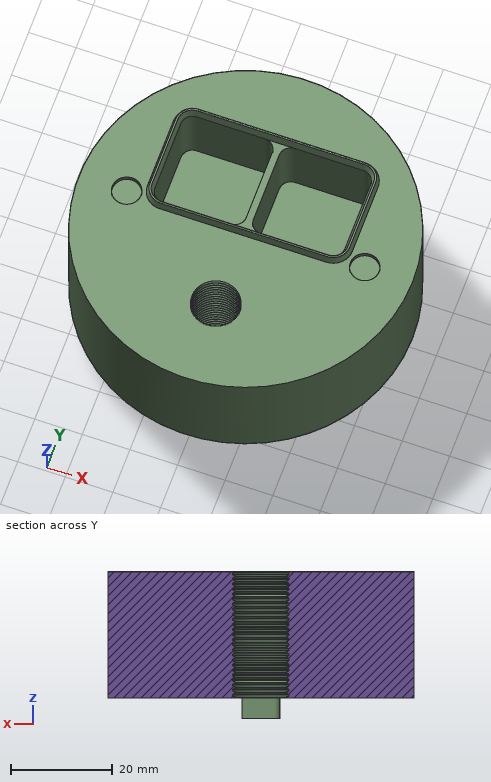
import cadquery as cq

body_diameter = 70.0
body_height = 25.0

rim_center_y = 10.0
rim_length = 43.0
rim_width = 23.1
rim_height = 1.5
rim_corner_radius = 4.0
rim_outer_slope = 0.525
rim_flat = 0.4
rim_inner_slope = 0.6
rim_top_inset = rim_outer_slope + rim_flat
pocket_inset = rim_top_inset + rim_inner_slope

pocket_depth = 15.0
web_thickness = 1.5

recess_diameter = 6.0
recess_depth = 1.0
recess_offset_x = 25.0

thread_center_y = -17.5
thread_minor_diameter = 10.0
groove_count = 25
thread_pitch = body_height / groove_count
thread_depth = 0.54
thread_crest_flat = 0.125
thread_root_flat = 0.25

lug_center_y = -28.8
lug_side = 7.5
lug_height = 4.05
lug_corner_radius = 1.0
slot_width = 2.4


def rim_outline(z, inset):
    """Rounded rectangle at height z, inset evenly from the foot of the rim."""
    return (
        cq.Sketch()
        .rect(rim_length - 2 * inset, rim_width - 2 * inset)
        .vertices()
        .fillet(rim_corner_radius - inset)
        .moved(cq.Location(cq.Vector(0, rim_center_y, z)))
    )


def rim_frustum(bottom_inset, top_inset):
    """Tapered block the height of the rim, standing on the body top."""
    return (
        cq.Workplane("XY")
        .placeSketch(
            rim_outline(body_height, bottom_inset),
            rim_outline(body_height + rim_height, top_inset),
        )
        .loft()
    )


def pockets():
    """Two equal rounded pockets filling the rim opening on each side of the web."""
    opening_length = rim_length - 2 * pocket_inset
    pocket_length = (opening_length - web_thickness) / 2
    pocket_width = rim_width - 2 * pocket_inset
    pocket_offset_x = (pocket_length + web_thickness) / 2
    return (
        cq.Workplane("XY", origin=(0, rim_center_y, body_height))
        .pushPoints([(-pocket_offset_x, 0), (pocket_offset_x, 0)])
        .rect(pocket_length, pocket_width)
        .extrude(-pocket_depth)
        .edges("|Z")
        .fillet(rim_corner_radius - pocket_inset)
    )


def recesses():
    """Pair of shallow blind recesses in the body top."""
    return (
        cq.Workplane("XY", origin=(0, 0, body_height))
        .pushPoints([(-recess_offset_x, 0), (recess_offset_x, 0)])
        .circle(recess_diameter / 2)
        .extrude(-recess_depth)
    )


def threaded_hole():
    """Through hole with equal grooves filling the full height of the body."""
    crest_radius = thread_minor_diameter / 2
    root_radius = crest_radius + thread_depth
    flank_height = (thread_pitch - thread_crest_flat - thread_root_flat) / 2
    profile = cq.Workplane("XZ", origin=(0, thread_center_y, 0))
    profile = profile.moveTo(0, body_height).lineTo(crest_radius, body_height)
    for groove in range(groove_count):
        groove_top = body_height - groove * thread_pitch
        profile = profile.lineTo(root_radius, groove_top - flank_height)
        profile = profile.lineTo(root_radius, groove_top - flank_height - thread_root_flat)
        profile = profile.lineTo(crest_radius, groove_top - 2 * flank_height - thread_root_flat)
        profile = profile.lineTo(crest_radius, groove_top - thread_pitch)
    profile = profile.lineTo(0, 0).close()
    return profile.revolve(360, (0, 0, 0), (0, 1, 0))


def lug():
    """Rounded square lug with a straight slot open toward -Y."""
    block = (
        cq.Workplane("XY", origin=(0, lug_center_y, 0))
        .rect(lug_side, lug_side)
        .extrude(-lug_height)
        .edges("|Z")
        .fillet(lug_corner_radius)
    )
    wall_thickness = (lug_side - slot_width) / 2
    slot = (
        cq.Workplane("XY", origin=(0, lug_center_y - wall_thickness, 0))
        .rect(slot_width, lug_side)
        .extrude(-lug_height)
    )
    return block.cut(slot)


body = cq.Workplane("XY").circle(body_diameter / 2).extrude(body_height)
rim = rim_frustum(0, rim_outer_slope).cut(rim_frustum(pocket_inset, rim_top_inset))

result = (
    body.union(rim)
    .cut(pockets())
    .cut(recesses())
    .cut(threaded_hole())
    .union(lug())
)